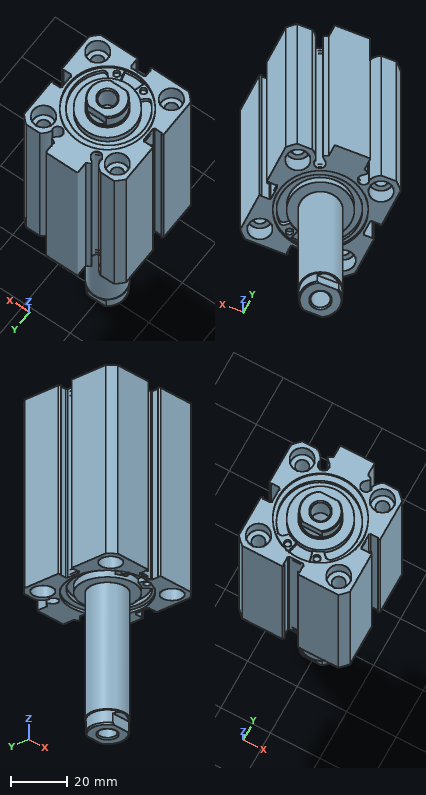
import cadquery as cq
import math


total_length = 140.0
housing_length = 76.0
housing_half_length = housing_length / 2
housing_width = 45.0
housing_half_width = housing_width / 2
housing_depth = 50.0
corner_radius = 29.7
bore_radius = 17.0

mount_offset = 16.2
mount_hole_diameter = 5.0
mount_counterbore_diameter = 9.0
mount_counterbore_depth = 7.0

groove_floor = 18.0
groove_half_width = 3.2
groove_mouth_half_width = 2.7
groove_lip = 0.8
groove_mouth_chamfer = 0.5
groove_floor_chamfer = 0.4

rail_top = housing_depth - housing_half_width
rail_half_width = 7.0
rail_edge_fillet = 0.4
barb_reach = 8.7
barb_upper = 21.5
barb_lower = 21.1
channel_center_x = 8.5
channel_center_y = 18.2
channel_radius = 2.1
barb_root_angle = math.radians(35)
shelf_height = 18.6
shelf_edge = 10.4
shoulder_middle = (11.5, 20.9)
shoulder_edge = 13.5

ring_recess = 1.1
ring_thickness = 1.8
ring_outer_radius = 17.8
ring_inner_radius = 15.3
ring_inner_shift = 0.8
ring_gap_half_angle = math.radians(15)
ear_inner_radius = 12.3
ear_corner_x = 7.0
ear_fillet = 1.7
ear_hole_x = 5.9
ear_hole_y = 13.6
ear_hole_diameter = 2.7

boss_radius = 12.0
collar_length = 16.8

rod_radius = 8.0
rod_top_projection = 7.0
rod_end_radius = 7.7
rod_end_length = 5.7
rod_shoulder_chamfer = 0.3
rod_tip_chamfer_width = 0.35
rod_tip_chamfer_length = 0.7
flat_offset = 6.5
flat_length = 4.5
rod_hole_radius = 3.5
rod_hole_depth = 11.2
rod_hole_chamfer = 0.5
drill_half_angle = math.radians(59)


def mirrored_ends(upper):
    """A body at the +Z end and its mirror copy at the -Z end."""
    return [upper, upper.mirror("XY")]


def channel_outline():
    """Undercut channel at the +X side of the rail, open towards +X and +Y."""
    barb_root_x = channel_center_x - channel_radius * math.cos(barb_root_angle)
    barb_root_y = channel_center_y + channel_radius * math.sin(barb_root_angle)
    shelf_rise = shelf_height - channel_center_y
    shelf_start = channel_center_x + math.sqrt(channel_radius**2 - shelf_rise**2)
    return (
        cq.Workplane("XY")
        .workplane(offset=-housing_half_length)
        .moveTo(rail_half_width, rail_top)
        .lineTo(rail_half_width, housing_half_width)
        .lineTo(barb_reach, barb_upper)
        .lineTo(barb_reach, barb_lower)
        .lineTo(barb_root_x, barb_root_y)
        .threePointArc(
            (channel_center_x, channel_center_y - channel_radius),
            (shelf_start, shelf_height),
        )
        .lineTo(shelf_edge, shelf_height)
        .threePointArc(shoulder_middle, (shoulder_edge, housing_half_width))
        .lineTo(shoulder_edge, rail_top)
        .close()
    )


def sensor_groove():
    """Groove with a narrow, chamfered mouth in the -Y side, along the whole housing."""
    lip_start = housing_half_width - groove_lip
    chamfer_start = housing_half_width - groove_mouth_chamfer
    floor_half_width = groove_half_width - groove_floor_chamfer
    wall_start = groove_floor + groove_floor_chamfer
    mouth_edge = groove_mouth_half_width + groove_mouth_chamfer
    return (
        cq.Workplane("XY")
        .workplane(offset=-housing_half_length)
        .moveTo(-floor_half_width, -groove_floor)
        .lineTo(-groove_half_width, -wall_start)
        .lineTo(-groove_half_width, -lip_start)
        .lineTo(-groove_mouth_half_width, -lip_start)
        .lineTo(-groove_mouth_half_width, -chamfer_start)
        .lineTo(-mouth_edge, -housing_half_width)
        .lineTo(mouth_edge, -housing_half_width)
        .lineTo(groove_mouth_half_width, -chamfer_start)
        .lineTo(groove_mouth_half_width, -lip_start)
        .lineTo(groove_half_width, -lip_start)
        .lineTo(groove_half_width, -wall_start)
        .lineTo(floor_half_width, -groove_floor)
        .close()
        .extrude(housing_length)
    )


def ring_seat():
    """Disc that the upper snap ring fills, also the groove it cuts in the bore."""
    return (
        cq.Workplane("XY")
        .workplane(offset=housing_half_length - ring_recess - ring_thickness)
        .circle(ring_outer_radius)
        .extrude(ring_thickness)
    )


def make_housing():
    side = 2 * housing_half_width
    body = cq.Workplane("XY").box(side, side, housing_length)
    body = body.intersect(cq.Workplane("XY").cylinder(housing_length, corner_radius))

    rail_height = rail_top - channel_center_y
    rail = (
        cq.Workplane("XY")
        .box(2 * shoulder_edge, rail_height, housing_length)
        .translate((0, rail_top - rail_height / 2, 0))
    )
    body = body.union(rail)

    channel = channel_outline().extrude(housing_length)
    body = body.cut(channel).cut(channel.mirror("YZ"))
    body = body.faces(">Y").edges("|Z").fillet(rail_edge_fillet)

    for angle in (0, 90, -90):
        body = body.cut(sensor_groove().rotate((0, 0, 0), (0, 0, 1), angle))

    body = body.cut(cq.Workplane("XY").cylinder(housing_length, bore_radius))
    for seat in mirrored_ends(ring_seat()):
        body = body.cut(seat)

    mount_pitch = 2 * mount_offset
    for face in (">Z", "<Z"):
        body = (
            body.faces(face)
            .workplane(origin=(0, 0, 0))
            .rarray(mount_pitch, mount_pitch, 2, 2)
            .cboreHole(mount_hole_diameter, mount_counterbore_diameter, mount_counterbore_depth)
        )
    return body


def make_upper_ring():
    seat_bottom = housing_half_length - ring_recess - ring_thickness
    plane = cq.Workplane("XY").workplane(offset=seat_bottom)

    opening = plane.center(0, -ring_inner_shift).circle(ring_inner_radius).extrude(ring_thickness)
    ear_corner_y = -math.sqrt(ear_inner_radius**2 - ear_corner_x**2)
    ear_end_x = ear_corner_x + ring_outer_radius
    ear_end_y = ear_corner_y - ring_outer_radius
    ears = (
        plane.moveTo(0, ear_corner_x + ear_corner_y)
        .lineTo(ear_end_x, ear_end_y)
        .lineTo(-ear_end_x, ear_end_y)
        .close()
        .extrude(ring_thickness)
    )
    ear_root = cq.selectors.BoxSelector(
        (-ring_inner_radius, -ring_inner_radius, seat_bottom),
        (ring_inner_radius, ear_corner_y, seat_bottom + ring_thickness),
    )
    opening = opening.cut(ears).edges("|Z").edges(ear_root).fillet(ear_fillet)

    gap_half_width = ring_outer_radius * math.tan(ring_gap_half_angle)
    gap = (
        plane.moveTo(0, 0)
        .lineTo(gap_half_width, -ring_outer_radius)
        .lineTo(-gap_half_width, -ring_outer_radius)
        .close()
        .extrude(ring_thickness)
    )

    boss_clearance = plane.circle(ear_inner_radius).extrude(ring_thickness)
    plier_holes = (
        plane.pushPoints([(-ear_hole_x, -ear_hole_y), (ear_hole_x, -ear_hole_y)])
        .circle(ear_hole_diameter / 2)
        .extrude(ring_thickness)
    )
    return ring_seat().cut(opening).cut(boss_clearance).cut(gap).cut(plier_holes)


def make_upper_collar():
    flange_length = collar_length - ring_recess - ring_thickness
    return (
        cq.Workplane("XY")
        .workplane(offset=housing_half_length - collar_length)
        .circle(bore_radius)
        .extrude(flange_length)
        .faces(">Z")
        .workplane()
        .circle(boss_radius)
        .extrude(collar_length - flange_length)
        .faces(">Z")
        .workplane()
        .circle(rod_radius)
        .cutThruAll()
    )


def rod_end_cutters():
    """Tapped hole and two wrench flats for a rod end at the origin that points to +Z."""
    mouth_radius = rod_hole_radius + rod_hole_chamfer
    drill_tip = rod_hole_depth + rod_hole_radius / math.tan(drill_half_angle)
    hole = (
        cq.Workplane("XZ")
        .lineTo(mouth_radius, 0)
        .lineTo(rod_hole_radius, -rod_hole_chamfer)
        .lineTo(rod_hole_radius, -rod_hole_depth)
        .lineTo(0, -drill_tip)
        .close()
        .revolve(360, (0, 0, 0), (0, 1, 0))
    )

    runout = 2 * (rod_radius - flat_offset)
    flat = (
        cq.Workplane("YZ")
        .moveTo(flat_offset, 0)
        .lineTo(flat_offset, -flat_length)
        .lineTo(flat_offset + runout, -flat_length - runout)
        .lineTo(flat_offset + runout, 0)
        .close()
        .extrude(rod_radius, both=True)
    )
    return [hole, flat, flat.mirror("XZ")]


def make_rod():
    top = housing_half_length + rod_top_projection
    bottom = top - total_length
    half_length = total_length / 2
    shoulder = half_length - rod_end_length
    tip_radius = rod_end_radius - rod_tip_chamfer_width

    upper_half = (
        cq.Workplane("XZ")
        .lineTo(rod_radius, 0)
        .lineTo(rod_radius, shoulder - rod_shoulder_chamfer)
        .lineTo(rod_end_radius, shoulder)
        .lineTo(rod_end_radius, half_length - rod_tip_chamfer_length)
        .lineTo(tip_radius, half_length)
        .lineTo(0, half_length)
        .close()
        .revolve(360, (0, 0, 0), (0, 1, 0))
    )
    for cutter in rod_end_cutters():
        upper_half = upper_half.cut(cutter.translate((0, 0, half_length)))
    rod = upper_half.union(upper_half.mirror("XY"))
    return rod.translate((0, 0, (top + bottom) / 2))


housing = make_housing()
rod = make_rod()
collars = mirrored_ends(make_upper_collar())
snap_rings = mirrored_ends(make_upper_ring())

result = cq.Compound.makeCompound(
    [
        housing.val(),
        rod.val(),
        *[collar.val() for collar in collars],
        *[ring.val() for ring in snap_rings],
    ]
)